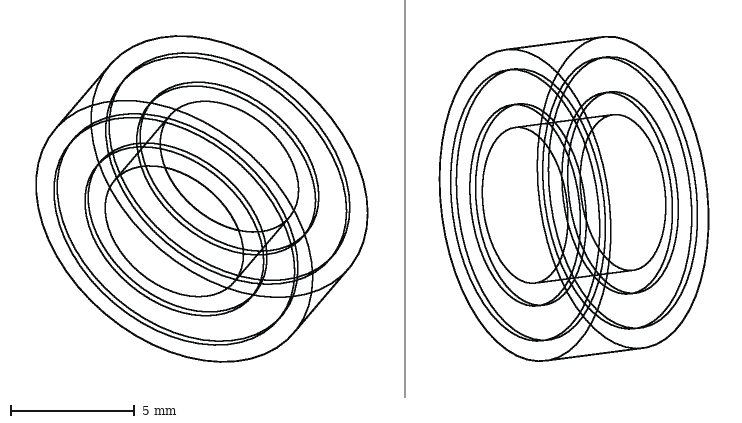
import cadquery as cq

outer_diameter = 12.7
bore_diameter = 6.35
width = 4.72
inner_ring_diameter = 8.2
outer_ring_bore = 11.05
shield_recess = 0.28


def tube(outside, inside, length):
    """Tube along Y, centred on the origin."""
    return (
        cq.Workplane("XZ", origin=(0, length / 2, 0))
        .circle(outside / 2)
        .circle(inside / 2)
        .extrude(length)
    )


outer_ring = tube(outer_diameter, outer_ring_bore, width)
inner_ring = tube(inner_ring_diameter, bore_diameter, width)

shield_web = tube(outer_ring_bore, inner_ring_diameter, width - 2 * shield_recess)

result = outer_ring.union(shield_web).union(inner_ring)